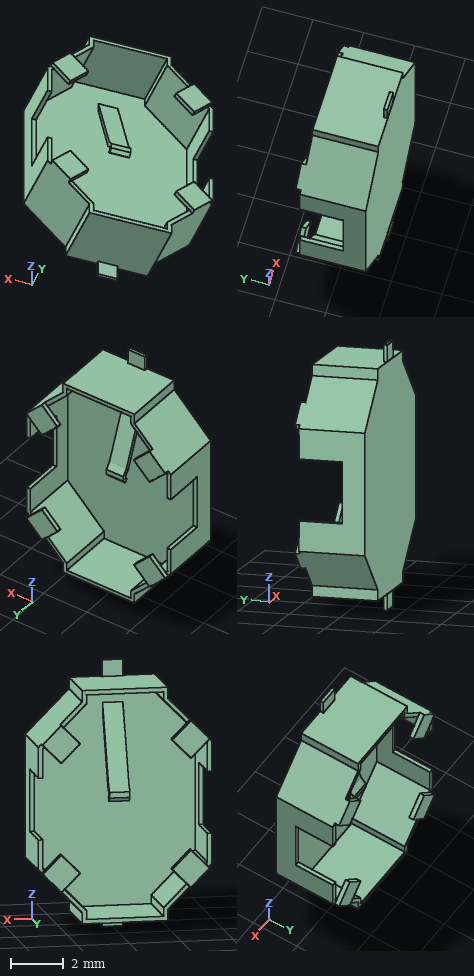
import cadquery as cq
import math

width = 6.7
body_height = 9.01
body_depth = 2.61
end_width = 3.32
corner_cut = (width - end_width) / 2
flat_height = 4.76
wall = 0.18

window_height = 2.39
window_floor = 0.9

overall_height = 10.3
terminal_width = 0.78
terminal_thickness = 0.14
terminal_setback = 0.01

overall_depth = 2.8
foot_side = 1.03
foot_center = (width / 2 + flat_height / 2 - foot_side / math.sqrt(2)) / 2
foot_height = overall_depth - body_depth

spring_width = terminal_width
spring_root = 0.1
spring_profile = [
    (spring_root, 3.69),
    (1.36, 0.55),
    (1.56, 0.31),
    (1.56, 0.09),
    (1.42, -0.06),
    (1.32, 0.07),
    (1.38, 0.08),
    (1.38, 0.28),
    (1.22, 0.46),
    (spring_root, 3.31),
]


def box(size_x, size_y, size_z, start_y=0.0):
    """Box centred in X and Z that begins at start_y."""
    return cq.Workplane("XY").box(
        size_x, size_y, size_z, centered=(True, False, True)
    ).translate((0, start_y, 0))


def outline(start_y):
    """Closed outline of the housing, drawn on the plane Y = start_y."""
    side_x = width / 2
    end_x = end_width / 2
    flat_z = flat_height / 2
    shoulder_z = flat_z + corner_cut
    end_z = body_height / 2
    quarter = [(side_x, flat_z), (end_x, shoulder_z), (end_x, end_z)]
    right = [(x, -z) for x, z in reversed(quarter)] + quarter
    left = [(-x, -z) for x, z in right]
    return cq.Workplane("XZ", origin=(0, start_y, 0)).polyline(right + left).close()


def make_housing():
    shell = outline(0).extrude(-body_depth)
    cavity = outline(wall).offset2D(-wall, "intersection").extrude(-body_depth)
    window = box(2 * width, body_depth, window_height, window_floor)
    return shell.cut(cavity).cut(window)


def make_foot(side_x, side_z):
    foot = box(foot_side, foot_height, foot_side, body_depth)
    foot = foot.rotate((0, 0, 0), (0, 1, 0), 45)
    return foot.translate((side_x * foot_center, 0, side_z * foot_center))


def make_terminal(side_z):
    length = (overall_height - body_height) / 2
    middle_z = (overall_height - length) / 2
    terminal = box(terminal_width, terminal_thickness, length, terminal_setback)
    return terminal.translate((0, 0, side_z * middle_z))


def make_spring():
    profile = cq.Workplane("YZ").polyline(spring_profile).close()
    return profile.extrude(spring_width / 2, both=True)


result = make_housing().union(make_spring())
for side_z in (-1, 1):
    result = result.union(make_terminal(side_z))
    for side_x in (-1, 1):
        result = result.union(make_foot(side_x, side_z))
result = result.clean()